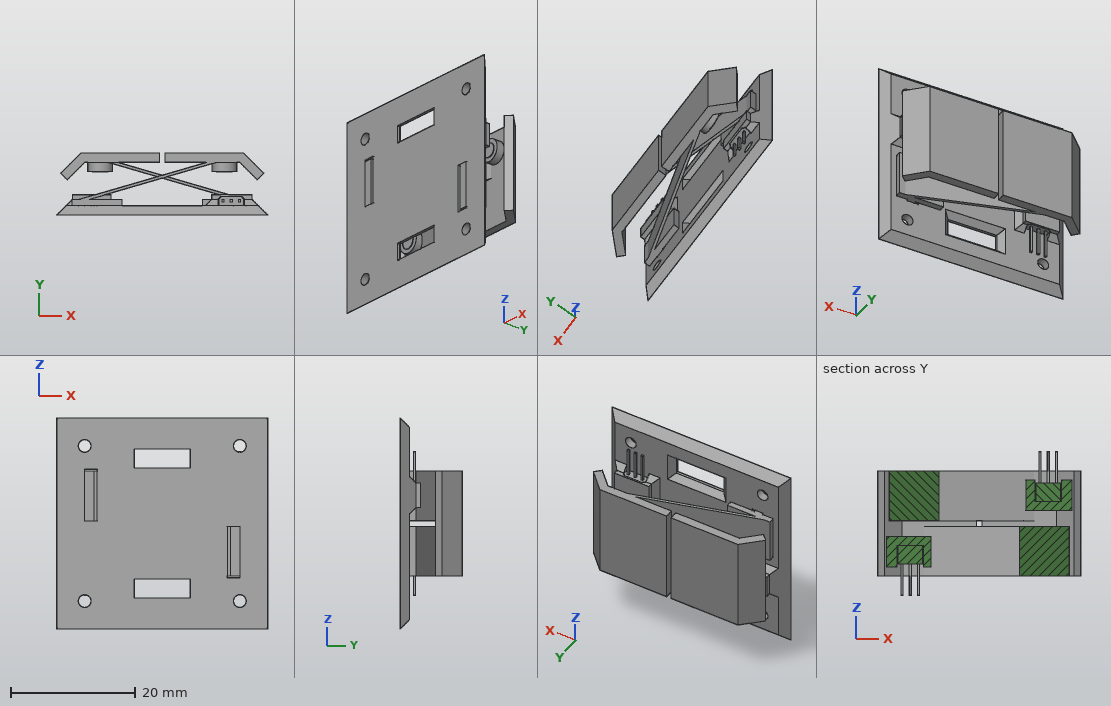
import cadquery as cq
import math

HALF_TURNS = (0, 180)

PLATE_SIZE = 34.0
PLATE_THICKNESS = 1.5
CORNER_HOLE_DIAMETER = 2.0
CORNER_HOLE_SPACING = 25.0
WINDOW_WIDTH = 9.0
WINDOW_HEIGHT = 3.03
WINDOW_CENTER_Z = 10.47
WINDOW_LIP = 0.48

OVERALL_DEPTH = 10.0
KEY_THICKNESS = 1.5
KEY_HEIGHT = 16.93
KEY_GAP = 0.8
KEY_BEND_X = 13.1
WING_DROP = 3.25
BEND_ANGLE = math.radians(45)
KEY_UNDERSIDE_Y = OVERALL_DEPTH - KEY_THICKNESS

ARM_THICKNESS = 0.48
ARM_START_X = -12.58
ARM_GAP = 0.9
ARM_BOTTOM_Z = ARM_GAP / 2
ARM_TOP_Z = KEY_HEIGHT / 2
ARM_HEIGHT = ARM_TOP_Z - ARM_BOTTOM_Z

FOOT_OUTER_X = -14.52
FOOT_INNER_X = -6.45
FOOT_THICKNESS = 1.02
FOOT_TOP_Y = PLATE_THICKNESS + FOOT_THICKNESS
TAB_OUTER_X = -CORNER_HOLE_SPACING / 2
TAB_WIDTH = 1.5
SLOT_WIDTH = 2.0
SLOT_END_CLEARANCE = 0.27

ACTION_CENTER_Z = 4.55

HOLDER_DIAMETER = 4.0
HOLDER_HEIGHT = 1.5
HOLDER_X = 10.0
MAGNET_DIAMETER = 2.5
MAGNET_PROTRUSION = 0.1

LUG_OUTER_X = PLATE_SIZE / 2 - PLATE_THICKNESS - FOOT_THICKNESS
RIGHT_LUG_INNER_X = 7.95
LEFT_LUG_INNER_X = 8.23
LUG_HEIGHT = 4.0
LUG_FLARE = FOOT_THICKNESS
LUG_TOP_Y = 3.3
LUG_END_Z = ACTION_CENTER_Z + LUG_HEIGHT / 2

SENSOR_WIDTH = 4.0
SENSOR_THICKNESS = 1.5
SENSOR_LENGTH = 3.0
SENSOR_BEVEL = 0.4
SENSOR_X = 11.12
SENSOR_CLEARANCE = 0.1
LEAD_SIZE = 0.37
LEAD_LENGTH = 5.0
LEAD_PITCH = 1.33
LEAD_Y = 2.3


def block(x_range, y_range, z_range):
    """Box between the given limits along X, Y and Z."""
    (x0, x1), (y0, y1), (z0, z1) = x_range, y_range, z_range
    return cq.Workplane("XY").box(x1 - x0, y1 - y0, z1 - z0, centered=False).translate((x0, y0, z0))


def turned(shape, angle):
    """Copy of a shape turned about the Y axis."""
    return shape.rotate((0, 0, 0), (0, 1, 0), angle)


def flared_block(center, size, flare, y_start, y_end):
    """Rectangle in XZ whose sides move outward by flare from y_start to y_end."""
    width, height = size
    return (
        cq.Workplane("XZ", origin=(center[0], y_start, center[1]))
        .rect(width, height)
        .workplane(offset=y_start - y_end)
        .rect(width + 2 * flare, height + 2 * flare)
        .loft(ruled=True)
    )


def y_cylinder(x, z, diameter, y_start, y_end):
    """Round bar along Y."""
    return cq.Workplane("XZ", origin=(x, y_start, z)).circle(diameter / 2).extrude(y_start - y_end)


def extrude_xy(points, z_start, height):
    """Closed XY outline extruded upward from z_start."""
    return cq.Workplane("XY", origin=(0, 0, z_start)).polyline(points).close().extrude(height)


def sensor_body(clearance):
    """Sensor body with bevelled rear corners, widened by clearance on each side."""
    half = SENSOR_WIDTH / 2 + clearance
    rear_y = PLATE_THICKNESS + SENSOR_THICKNESS
    outline = [
        (SENSOR_X - half, PLATE_THICKNESS),
        (SENSOR_X + half, PLATE_THICKNESS),
        (SENSOR_X + half, rear_y - SENSOR_BEVEL),
        (SENSOR_X + half - SENSOR_BEVEL, rear_y),
        (SENSOR_X - half + SENSOR_BEVEL, rear_y),
        (SENSOR_X - half, rear_y - SENSOR_BEVEL),
    ]
    return extrude_xy(outline, LUG_END_Z - SENSOR_LENGTH, SENSOR_LENGTH)


def make_lug(inner_x):
    """Lug on the right half of the plate, with a pocket that opens upward for the sensor."""
    center = ((inner_x + LUG_OUTER_X) / 2, ACTION_CENTER_Z)
    width = LUG_OUTER_X - inner_x
    pyramid = flared_block(center, (width, LUG_HEIGHT), LUG_FLARE, FOOT_TOP_Y, PLATE_THICKNESS)
    top = block(
        (inner_x, LUG_OUTER_X),
        (FOOT_TOP_Y, LUG_TOP_Y),
        (ACTION_CENTER_Z - LUG_HEIGHT / 2, LUG_END_Z),
    )
    pocket = sensor_body(SENSOR_CLEARANCE)
    pocket_mouth = pocket.translate((0, 0, LUG_FLARE))
    return pyramid.union(top).cut(pocket).cut(pocket_mouth)


def make_base():
    """Bevelled plate with corner holes, windows, tab slots and the two sensor lugs."""
    base = flared_block((0, 0), (PLATE_SIZE, PLATE_SIZE), -PLATE_THICKNESS, 0, PLATE_THICKNESS)

    for inner_x, angle in zip((RIGHT_LUG_INNER_X, LEFT_LUG_INNER_X), HALF_TURNS):
        base = base.union(turned(make_lug(inner_x), angle))

    for x in (-CORNER_HOLE_SPACING / 2, CORNER_HOLE_SPACING / 2):
        for z in (-CORNER_HOLE_SPACING / 2, CORNER_HOLE_SPACING / 2):
            base = base.cut(y_cylinder(x, z, CORNER_HOLE_DIAMETER, 0, PLATE_THICKNESS))

    window_center = (0, WINDOW_CENTER_Z)
    window_size = (WINDOW_WIDTH, WINDOW_HEIGHT)
    lip = flared_block(window_center, window_size, 0, 0, WINDOW_LIP)
    flare = flared_block(
        window_center, window_size, PLATE_THICKNESS - WINDOW_LIP, WINDOW_LIP, PLATE_THICKNESS
    )
    slot = block(
        (TAB_OUTER_X, TAB_OUTER_X + SLOT_WIDTH),
        (0, PLATE_THICKNESS),
        (ARM_BOTTOM_Z, ARM_TOP_Z + SLOT_END_CLEARANCE),
    )
    for angle in HALF_TURNS:
        for opening in (lip, flare, slot):
            base = base.cut(turned(opening, angle))
    return base


def make_cover():
    """Flat key cover with its outer edge bent forward at 45 degrees."""
    tip = (KEY_BEND_X + WING_DROP / math.tan(BEND_ANGLE), OVERALL_DEPTH - WING_DROP)
    tip_back = KEY_THICKNESS * math.sin(BEND_ANGLE)
    tip_drop = KEY_THICKNESS * math.cos(BEND_ANGLE)
    inner_bend_x = KEY_BEND_X - KEY_THICKNESS * math.tan(BEND_ANGLE / 2)
    outline = [
        (KEY_GAP / 2, KEY_UNDERSIDE_Y),
        (KEY_GAP / 2, OVERALL_DEPTH),
        (KEY_BEND_X, OVERALL_DEPTH),
        tip,
        (tip[0] - tip_back, tip[1] - tip_drop),
        (inner_bend_x, KEY_UNDERSIDE_Y),
    ]
    return extrude_xy(outline, -KEY_HEIGHT / 2, KEY_HEIGHT)


def make_arm():
    """Sloping leaf whose mid-line runs from the foot to the inner side of the holder."""
    end_x = HOLDER_X - HOLDER_DIAMETER / 2
    slope = math.atan2(KEY_UNDERSIDE_Y - FOOT_TOP_Y, end_x - ARM_START_X)
    half_width = ARM_THICKNESS / math.sin(slope) / 2
    outline = [
        (ARM_START_X - half_width, FOOT_TOP_Y),
        (ARM_START_X + half_width, FOOT_TOP_Y),
        (end_x + half_width, KEY_UNDERSIDE_Y),
        (end_x - half_width, KEY_UNDERSIDE_Y),
    ]
    return extrude_xy(outline, ARM_BOTTOM_Z, ARM_HEIGHT)


def make_key():
    """Right cover with its magnet holder, spring arm, and foot on the left half of the plate."""
    arm_z = (ARM_BOTTOM_Z, ARM_TOP_Z)
    foot = block((FOOT_OUTER_X, FOOT_INNER_X), (PLATE_THICKNESS, FOOT_TOP_Y), arm_z)
    tab = block((TAB_OUTER_X, TAB_OUTER_X + TAB_WIDTH), (0, PLATE_THICKNESS), arm_z)
    holder = y_cylinder(
        HOLDER_X, ACTION_CENTER_Z, HOLDER_DIAMETER, KEY_UNDERSIDE_Y - HOLDER_HEIGHT, KEY_UNDERSIDE_Y
    )
    key = make_cover().union(make_arm()).union(foot).union(tab).union(holder)
    return key.cut(make_magnet())


def make_magnet():
    """Disc magnet that fills the holder and stands slightly proud of it."""
    front_y = KEY_UNDERSIDE_Y - HOLDER_HEIGHT - MAGNET_PROTRUSION
    return y_cylinder(HOLDER_X, ACTION_CENTER_Z, MAGNET_DIAMETER, front_y, KEY_UNDERSIDE_Y)


def make_sensor():
    """Sensor body with a row of three square leads pointing up."""
    sensor = sensor_body(0)
    for step in (-1, 0, 1):
        lead = (
            cq.Workplane("XY", origin=(SENSOR_X + step * LEAD_PITCH, LEAD_Y, LUG_END_Z))
            .rect(LEAD_SIZE, LEAD_SIZE)
            .extrude(LEAD_LENGTH)
        )
        sensor = sensor.union(lead)
    return sensor


base = make_base()
bodies = [base.solids().val()]
for angle in HALF_TURNS:
    for part in (make_key(), make_magnet(), make_sensor()):
        bodies.append(turned(part, angle).solids().val())

result = cq.Compound.makeCompound(bodies)